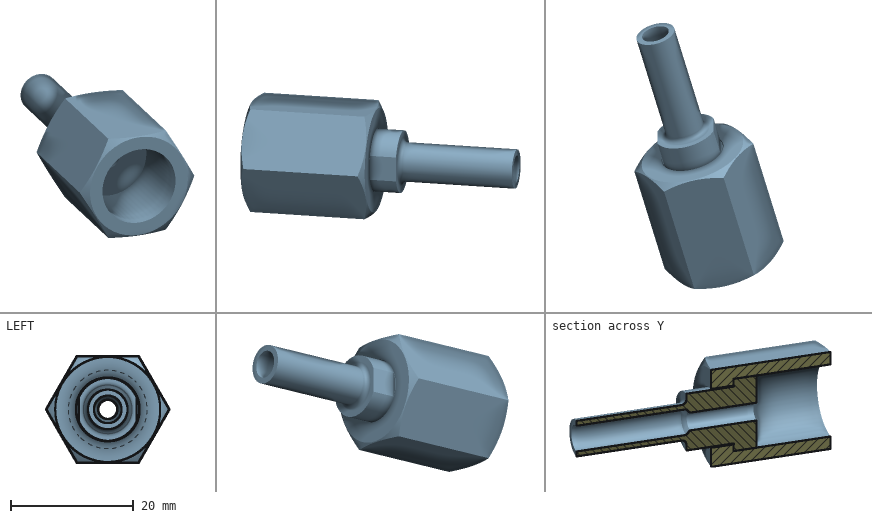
import cadquery as cq
import math

overall_length = 44.25
nut_length = 20.85
nut_start = overall_length - nut_length
collar_start = 19.08

nut_across_flats = 17.45
nut_across_corners = nut_across_flats / math.cos(math.pi / 6)
nut_face_radius = 8.6
nut_chamfer_angle = math.radians(30)
nut_shoulder_thickness = 4.0
collar_clearance = 0.1
flange_radius = 6.4

tube_radius = 3.25
tube_fillet = 0.75
collar_radius = 5.15
collar_across_flats = 9.43
flange_thickness = 4.0
flange_start = nut_start + nut_shoulder_thickness
gland_end = flange_start + flange_thickness

tube_bore_radius = 2.25
passage_radius = 1.55
bore_cone_half_angle = math.radians(45)


def cylinder(radius, start, end):
    """Solid cylinder on the X axis between two X positions."""
    return cq.Workplane("YZ", origin=(start, 0, 0)).circle(radius).extrude(end - start)


def revolved(points):
    """Solid of revolution about the X axis from (x, radius) points."""
    return cq.Workplane("XY").polyline(points).close().revolve(360, (0, 0, 0), (1, 0, 0))


def nut_chamfer_envelope():
    """Round body with conical ends that chamfers the corners of the hexagon."""
    corner_radius = nut_across_corners / 2
    chamfer_length = (corner_radius - nut_face_radius) * math.tan(nut_chamfer_angle)
    return revolved([
        (nut_start, 0),
        (nut_start, nut_face_radius),
        (nut_start + chamfer_length, corner_radius),
        (overall_length - chamfer_length, corner_radius),
        (overall_length, nut_face_radius),
        (overall_length, 0),
    ])


def make_nut():
    """Hexagonal nut with flat sides up and down, bored for the collar and the flange."""
    hexagon = (
        cq.Workplane("YZ", origin=(nut_start, 0, 0))
        .polygon(6, nut_across_corners)
        .extrude(nut_length)
    )
    collar_hole = cylinder(collar_radius + collar_clearance, nut_start, flange_start)
    flange_bore = cylinder(flange_radius, flange_start, overall_length)
    return hexagon.intersect(nut_chamfer_envelope()).cut(collar_hole).cut(flange_bore)


def make_collar():
    """Round collar with flats facing +Y and -Y on the stretch outside the nut."""
    flats = (
        cq.Workplane("XY", origin=(collar_start, 0, 0))
        .box(nut_start - collar_start, collar_across_flats, 2 * collar_radius, centered=(False, True, True))
    )
    flatted_end = cylinder(collar_radius, collar_start, nut_start).intersect(flats)
    return flatted_end.union(cylinder(collar_radius, nut_start, flange_start))


def make_tube():
    """Tube stub that flares into the collar face through a concave fillet."""
    outer_radius = tube_radius + tube_fillet
    fillet_start = collar_start - tube_fillet
    fillet_middle = (
        fillet_start + tube_fillet * math.sin(math.pi / 4),
        outer_radius - tube_fillet * math.cos(math.pi / 4),
    )
    return (
        cq.Workplane("XY")
        .lineTo(0, tube_radius)
        .lineTo(fillet_start, tube_radius)
        .threePointArc(fillet_middle, (collar_start, outer_radius))
        .lineTo(collar_start, 0)
        .close()
        .revolve(360, (0, 0, 0), (1, 0, 0))
    )


def make_gland_bore():
    """Through bore that narrows conically at the collar."""
    cone_length = (tube_bore_radius - passage_radius) / math.tan(bore_cone_half_angle)
    return revolved([
        (0, 0),
        (0, tube_bore_radius),
        (collar_start, tube_bore_radius),
        (collar_start + cone_length, passage_radius),
        (gland_end, passage_radius),
        (gland_end, 0),
    ])


def make_gland():
    """Tube, collar and flange as one bored body."""
    flange = cylinder(flange_radius, flange_start, gland_end)
    return make_tube().union(make_collar()).union(flange).cut(make_gland_bore())


nut = make_nut()
gland = make_gland()

result = cq.Compound.makeCompound([nut.solids().val(), gland.solids().val()])